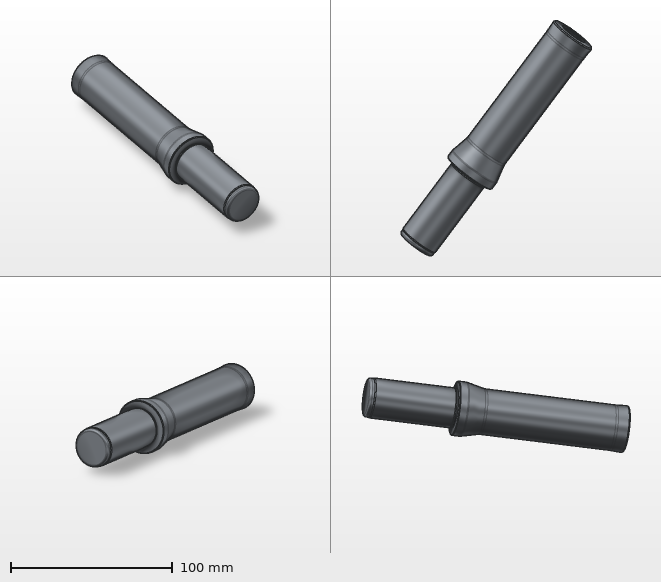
import cadquery as cq
import math

total_length = 165.0

barrel_radius = 28.5 / 2
tip_radius = 14.7
collar_radius = 34.0 / 2
flare_end_x = 8.7
cone_start_x = 91.5
cone_end_x = 103.5
shoulder_x = 108.9
collar_chamfer = 0.5
blend_tangent = 0.75
collar_blend_tangent = 0.3

face_rim_x = 0.5
face_rim_radius = 14.0
tip_chamfer_end_x = 1.3
lip_outer_radius = 8.7
lip_base_x = 0.25
lip_crest_radius = 8.4
seat_outer_radius = 6.8
seat_inner_radius = 5.8
seat_x = 0.3
recess_radius = 5.3
recess_x = 0.8

neck_radius = 24.5 / 2
spigot_radius = 25.0 / 2
neck_length = 1.0
spigot_chamfer_length = 0.8
pilot_length = 3.0
pilot_fillet = 1.5


def blend_corner(profile, before, corner, after, tangent_length):
    """Draw up to a corner and round it with an arc tangent to both sides."""
    incoming = (cq.Vector(*corner) - cq.Vector(*before)).normalized()
    outgoing = (cq.Vector(*after) - cq.Vector(*corner)).normalized()
    start = cq.Vector(*corner) - incoming * tangent_length
    end = cq.Vector(*corner) + outgoing * tangent_length
    turn = incoming.getAngle(outgoing)
    rise = tangent_length * math.cos(turn / 2) * math.tan(turn / 4)
    chord_middle = (start + end) / 2
    toward_corner = (cq.Vector(*corner) - chord_middle).normalized()
    middle = chord_middle + toward_corner * rise
    return profile.lineTo(start.x, start.y).threePointArc((middle.x, middle.y), (end.x, end.y))


def revolve_about_x(profile):
    return profile.close().revolve(360, (0, 0, 0), (1, 0, 0))


def make_barrel():
    tip_edge = (tip_chamfer_end_x, tip_radius)
    flare_end = (flare_end_x, barrel_radius)
    cone_start = (cone_start_x, barrel_radius)
    cone_end = (cone_end_x, collar_radius)
    collar_end = (shoulder_x - collar_chamfer, collar_radius)

    profile = (
        cq.Workplane("XY")
        .moveTo(recess_x, 0)
        .lineTo(recess_x, recess_radius)
        .lineTo(seat_x, seat_inner_radius)
        .lineTo(seat_x, seat_outer_radius)
        .lineTo(0, lip_crest_radius)
        .lineTo(lip_base_x, lip_outer_radius)
        .lineTo(face_rim_x, face_rim_radius)
        .lineTo(*tip_edge)
    )

    profile = blend_corner(profile, tip_edge, flare_end, cone_start, blend_tangent)
    profile = blend_corner(profile, flare_end, cone_start, cone_end, blend_tangent)
    profile = blend_corner(profile, cone_start, cone_end, collar_end, collar_blend_tangent)
    profile = (
        profile.lineTo(*collar_end)
        .lineTo(shoulder_x, collar_radius - collar_chamfer)
        .lineTo(shoulder_x, 0)
    )
    return revolve_about_x(profile)


def make_spigot():
    """Spigot that butts against the shoulder of the barrel collar."""
    neck_end_x = shoulder_x + neck_length
    pilot_start_x = total_length - pilot_length
    profile = (
        cq.Workplane("XY")
        .moveTo(shoulder_x, 0)
        .lineTo(shoulder_x, neck_radius)
        .lineTo(neck_end_x, neck_radius)
        .lineTo(neck_end_x + spigot_chamfer_length, spigot_radius)
        .lineTo(pilot_start_x - spigot_chamfer_length, spigot_radius)
        .lineTo(pilot_start_x, neck_radius)
        .lineTo(total_length, neck_radius)
        .lineTo(total_length, 0)
    )
    return revolve_about_x(profile).faces(">X").edges().fillet(pilot_fillet)


barrel = make_barrel()
spigot = make_spigot()

result = cq.Compound.makeCompound([barrel.val(), spigot.val()])